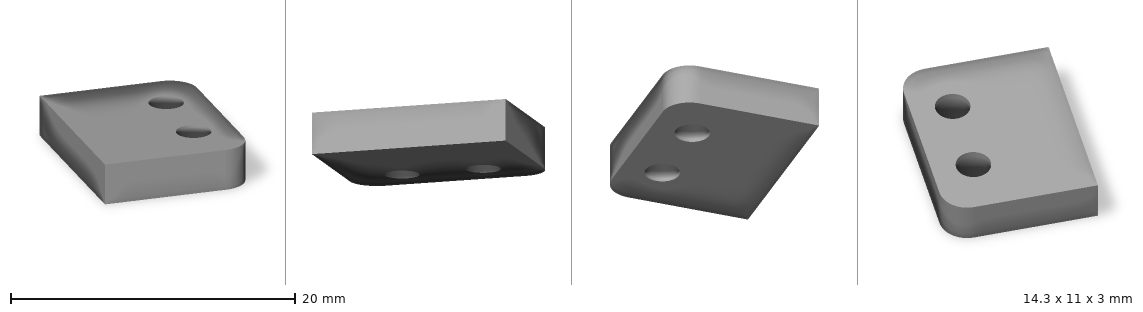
import cadquery as cq

width = 14.28
depth = 10.99
thickness = 3.0
corner_radius = 2.0

hole_diameter = 2.5
hole_spacing = 6.0
hole_edge_distance = 3.0


def make_plate():
    """Rectangular plate with its two back (+Y) corners rounded."""
    plate = cq.Workplane("XY").box(width, depth, thickness)
    return plate.edges("|Z and >Y").fillet(corner_radius)


def drill_holes(plate):
    """Two through holes placed symmetrically about the YZ plane."""
    hole_y = depth / 2 - hole_edge_distance
    hole_centers = [(side * hole_spacing / 2, hole_y) for side in (-1, 1)]
    return plate.faces(">Z").workplane(origin=(0, 0, 0)).pushPoints(hole_centers).hole(hole_diameter)


result = drill_holes(make_plate())